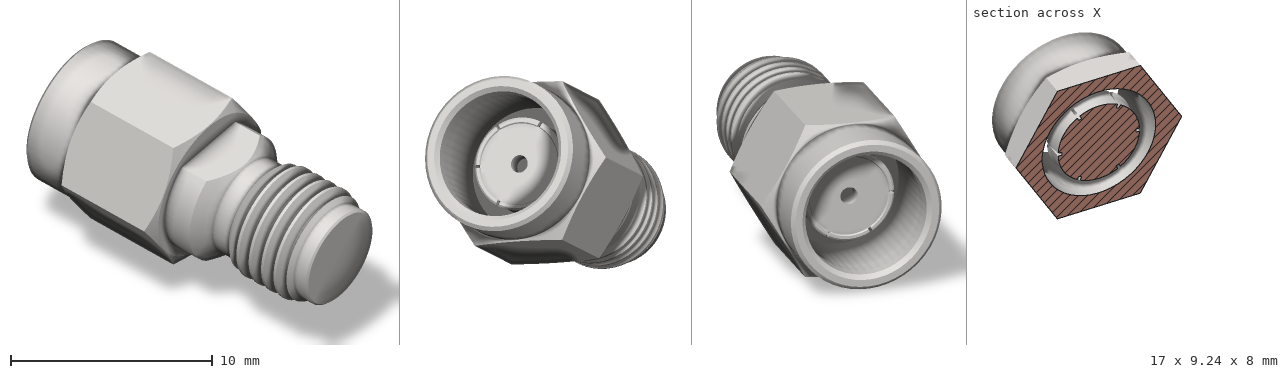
import cadquery as cq
import math

overall_length = 17.0

collar_radius = 3.91
collar_rim_chamfer = 0.19
hex_start = 2.58
hex_end = 8.6
hex_across_flats = 8.0
hex_chamfer_radius = 3.96
hex_chamfer_angle = 30.0

bore_radius = 3.15
bore_depth = 4.93
bore_chamfer = 0.22

sleeve_tip_x = 3.01
sleeve_outer_radius = 2.28
sleeve_inner_radius = 2.07
bead_outer_radius = 2.35
bead_inner_radius = 2.04
bead_chamfer = 0.1
bead_mouth_flare = 0.05
insulator_recess = 0.08
bead_length = 0.34
slot_count = 6
slot_width = 0.15
slot_depth = 1.36
contact_radius = 0.45
contact_depth = 2 * contact_radius

neck_radius = 3.45
neck_flats_width = 5.47
neck_end = 10.17
barrel_radius = 2.64
barrel_end_chamfer = 0.1

thread_start = 12.0
thread_end = 16.2
first_ridge_x = 12.15
last_ridge_x = 16.1
ridge_count = 6
crest_radius = 3.1
crest_width = 0.15
flank_angle = 60.0


def revolve_about_x(points):
    """Turn a closed outline of (x, radius) points around the X axis."""
    return cq.Workplane("XY").polyline(points).close().revolve(360, (0, 0, 0), (1, 0, 0))


def cylinder(start, end, radius):
    """Solid cylinder along X."""
    return cq.Workplane("YZ", origin=(start, 0, 0)).circle(radius).extrude(end - start)


def make_collar():
    collar = cylinder(0, hex_start, collar_radius)
    return collar.faces("<X").chamfer(collar_rim_chamfer)


def make_hex():
    """Hexagon with corners on Y, both ends turned to a shallow cone."""
    corner_radius = hex_across_flats / math.sqrt(3)
    prism = (
        cq.Workplane("YZ", origin=(hex_start, 0, 0))
        .polygon(6, 2 * corner_radius)
        .extrude(hex_end - hex_start)
    )
    cone_length = (corner_radius - hex_chamfer_radius) * math.tan(math.radians(hex_chamfer_angle))
    envelope = revolve_about_x([
        (hex_start, 0),
        (hex_start, hex_chamfer_radius),
        (hex_start + cone_length, corner_radius),
        (hex_end - cone_length, corner_radius),
        (hex_end, hex_chamfer_radius),
        (hex_end, 0),
    ])
    return prism.intersect(envelope)


def make_neck():
    """Round neck with a 45 degree shoulder, flattened on top and bottom."""
    shoulder_end = neck_end + neck_radius - barrel_radius
    turned = revolve_about_x([
        (hex_end, 0),
        (hex_end, neck_radius),
        (neck_end, neck_radius),
        (shoulder_end, barrel_radius),
        (shoulder_end, 0),
    ])
    length = shoulder_end - hex_end
    flats = cq.Workplane("XY", origin=(hex_end + length / 2, 0, 0)).box(
        length, 2 * neck_radius, neck_flats_width
    )
    return turned.intersect(flats)


def make_barrel():
    barrel = cylinder(hex_end, overall_length, barrel_radius)
    return barrel.faces(">X").chamfer(barrel_end_chamfer)


def make_thread():
    """Ridges around the barrel, trimmed by a 45 degree cone at each end."""
    ridge_height = crest_radius - barrel_radius
    half_crest = crest_width / 2
    half_base = half_crest + ridge_height / math.tan(math.radians(flank_angle))
    spacing = (last_ridge_x - first_ridge_x) / (ridge_count - 1)
    ridges = cylinder(thread_start, thread_end, barrel_radius)
    for index in range(ridge_count):
        center = first_ridge_x + index * spacing
        ridges = ridges.union(revolve_about_x([
            (center - half_base, 0),
            (center - half_base, barrel_radius),
            (center - half_crest, crest_radius),
            (center + half_crest, crest_radius),
            (center + half_base, barrel_radius),
            (center + half_base, 0),
        ]))
    envelope = revolve_about_x([
        (thread_start, 0),
        (thread_start, barrel_radius),
        (thread_start + ridge_height, crest_radius),
        (thread_end - ridge_height, crest_radius),
        (thread_end, barrel_radius),
        (thread_end, 0),
    ])
    return ridges.intersect(envelope)


def make_bore():
    """Cavity of the plug with a countersunk mouth."""
    return revolve_about_x([
        (0, 0),
        (0, bore_radius + bore_chamfer),
        (bore_chamfer, bore_radius),
        (bore_depth, bore_radius),
        (bore_depth, 0),
    ])


def make_sleeve():
    """Slotted sleeve whose tip carries a bead, chamfered outside and flared inside."""
    bead_start = sleeve_tip_x + bead_chamfer
    bead_end = sleeve_tip_x + bead_length
    sleeve = revolve_about_x([
        (sleeve_tip_x, bead_inner_radius + bead_mouth_flare),
        (sleeve_tip_x, bead_outer_radius - bead_chamfer),
        (bead_start, bead_outer_radius),
        (bead_end, sleeve_outer_radius),
        (bore_depth, sleeve_outer_radius),
        (bore_depth, sleeve_inner_radius),
        (bead_end, sleeve_inner_radius),
        (sleeve_tip_x + insulator_recess, bead_inner_radius),
    ])
    for index in range(slot_count // 2):
        slot = (
            cq.Workplane("XY", origin=(sleeve_tip_x + slot_depth / 2, 0, 0))
            .box(slot_depth, 2 * bore_radius, slot_width)
            .rotate((0, 0, 0), (1, 0, 0), index * 360 / slot_count)
        )
        sleeve = sleeve.cut(slot)
    return sleeve


def make_insulator():
    """Disc filling the sleeve just behind its flared mouth, with a central contact hole."""
    front = sleeve_tip_x + insulator_recess
    insulator = cylinder(front, bore_depth, sleeve_inner_radius)
    return insulator.cut(cylinder(front, front + contact_depth, contact_radius))


shell = make_collar().union(make_hex()).union(make_neck()).union(make_barrel()).union(make_thread())
result = shell.cut(make_bore()).union(make_sleeve()).union(make_insulator())